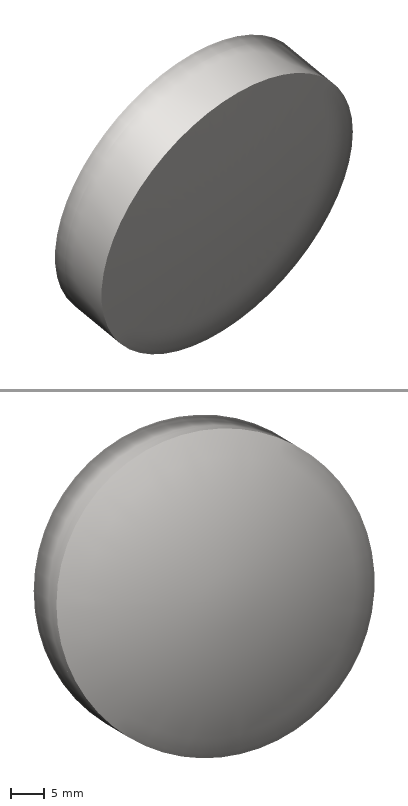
import cadquery as cq

diameter = 50.8
radius = diameter / 2
total_thickness = 18.0
front_sag = 6.15
front_rim = 2.3
back_sag = 1.25
back_rim = total_thickness - front_sag - front_rim - back_sag

front_rim_start = front_sag
joint = front_rim_start + front_rim
back_rim_end = joint + back_rim


def sphere_radius(sag):
    """Radius of the spherical cap that has this depth across the lens."""
    return (radius**2 + sag**2) / (2 * sag)


def point_on_cap(vertex, sag, direction):
    """Point halfway out on a cap that curves away from its vertex along direction * X."""
    cap_radius = sphere_radius(sag)
    height = radius / 2
    depth = cap_radius - (cap_radius**2 - height**2) ** 0.5
    return (vertex + direction * depth, height)


def revolve_about_axis(profile):
    return profile.close().revolve(360, (0, 0, 0), (1, 0, 0))


def make_front_lens():
    """Plano-convex lens: spherical front face, flat joint face."""
    profile = (
        cq.Workplane("XY")
        .moveTo(0, 0)
        .threePointArc(point_on_cap(0, front_sag, 1), (front_rim_start, radius))
        .lineTo(joint, radius)
        .lineTo(joint, 0)
    )
    return revolve_about_axis(profile)


def make_back_lens():
    """Plano-convex lens: flat joint face, shallow spherical back face."""
    profile = (
        cq.Workplane("XY")
        .moveTo(joint, 0)
        .lineTo(joint, radius)
        .lineTo(back_rim_end, radius)
        .threePointArc(point_on_cap(total_thickness, back_sag, -1), (total_thickness, 0))
    )
    return revolve_about_axis(profile)


front_lens = make_front_lens()
back_lens = make_back_lens()

result = cq.Compound.makeCompound([front_lens.val(), back_lens.val()])